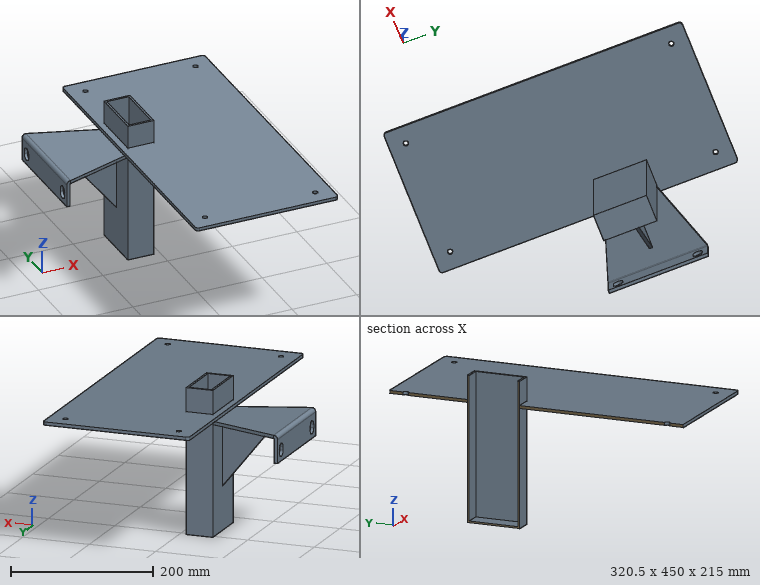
import cadquery as cq

TUBE_X = 40.0
TUBE_Y = 80.0
TUBE_HEIGHT = 215.0
TUBE_WALL = 3.0

SHEET = 5.0

PLATE_X = 220.0
PLATE_Y = 450.0
PLATE_CORNER_RADIUS = 5.0
PLATE_OVERHANG = 10.0
PLATE_SHIFT_Y = -65.5
PLATE_DROP = 35.0
HOLE_DIAMETER = 7.0
HOLE_EDGE_DISTANCE = 24.8

BRACKET_REACH = 110.5
BRACKET_WIDTH = 150.0
BRACKET_DROP = 45.0
FLANGE_HEIGHT = 41.0
BEND_OUTER_RADIUS = 6.0
BEND_INNER_RADIUS = BEND_OUTER_RADIUS - SHEET
SLOT_WIDTH = 14.0
SLOT_HEIGHT = 19.0
SLOT_SPACING = 120.0
SLOT_DROP = 24.8

GUSSET_LENGTH = 80.0
GUSSET_HEIGHT = 100.0

PLATE_BOTTOM = TUBE_HEIGHT - PLATE_DROP - SHEET
PLATE_CENTRE_X = PLATE_X / 2 - PLATE_OVERHANG
BRACKET_TOP = TUBE_HEIGHT - BRACKET_DROP
BRACKET_UNDERSIDE = BRACKET_TOP - SHEET


def make_tube():
    """Rectangular tube, open at the top and closed by a floor at the bottom."""
    outer = cq.Workplane("XY").box(TUBE_X, TUBE_Y, TUBE_HEIGHT, centered=(False, True, False))
    return outer.faces(">Z").shell(-TUBE_WALL, kind="intersection")


def make_plate():
    """Table plate with a corner hole pattern and an opening for the tube."""
    plate = (
        cq.Workplane("XY")
        .box(PLATE_X, PLATE_Y, SHEET, centered=(True, True, False))
        .edges("|Z").fillet(PLATE_CORNER_RADIUS)
        .faces(">Z").workplane()
        .rect(PLATE_X - 2 * HOLE_EDGE_DISTANCE, PLATE_Y - 2 * HOLE_EDGE_DISTANCE, forConstruction=True)
        .vertices().hole(HOLE_DIAMETER)
        .translate((PLATE_CENTRE_X, PLATE_SHIFT_Y, PLATE_BOTTOM))
    )
    opening = cq.Workplane("XY").box(TUBE_X, TUBE_Y, TUBE_HEIGHT, centered=(False, True, False))
    return plate.cut(opening)


def make_bent_sheet():
    """L-shaped sheet whose horizontal leg tapers from the bend to the tube width."""
    outer_x = -BRACKET_REACH
    inner_x = outer_x + SHEET
    flange_bottom = BRACKET_TOP - FLANGE_HEIGHT
    sheet = (
        cq.Workplane("XZ")
        .moveTo(0, BRACKET_TOP)
        .lineTo(outer_x + BEND_OUTER_RADIUS, BRACKET_TOP)
        .radiusArc((outer_x, BRACKET_TOP - BEND_OUTER_RADIUS), -BEND_OUTER_RADIUS)
        .lineTo(outer_x, flange_bottom)
        .lineTo(inner_x, flange_bottom)
        .lineTo(inner_x, BRACKET_UNDERSIDE - BEND_INNER_RADIUS)
        .radiusArc((inner_x + BEND_INNER_RADIUS, BRACKET_UNDERSIDE), BEND_INNER_RADIUS)
        .lineTo(0, BRACKET_UNDERSIDE)
        .close()
        .extrude(BRACKET_WIDTH / 2, both=True)
    )
    taper_start = outer_x + BEND_OUTER_RADIUS
    footprint = (
        cq.Workplane("XY")
        .polyline([
            (outer_x, -BRACKET_WIDTH / 2),
            (taper_start, -BRACKET_WIDTH / 2),
            (0, -TUBE_Y / 2),
            (0, TUBE_Y / 2),
            (taper_start, BRACKET_WIDTH / 2),
            (outer_x, BRACKET_WIDTH / 2),
        ])
        .close()
        .extrude(TUBE_HEIGHT)
    )
    return sheet.intersect(footprint)


def make_slots():
    """Cutters for the two upright mounting slots in the flange."""
    return (
        cq.Workplane("YZ", origin=(-BRACKET_REACH, 0, BRACKET_TOP - SLOT_DROP))
        .pushPoints([(-SLOT_SPACING / 2, 0), (SLOT_SPACING / 2, 0)])
        .slot2D(SLOT_HEIGHT, SLOT_WIDTH, 90)
        .extrude(SHEET)
    )


def make_gusset():
    """Triangular web on the bracket centre line."""
    return (
        cq.Workplane("XZ")
        .polyline([
            (0, BRACKET_UNDERSIDE),
            (-GUSSET_LENGTH, BRACKET_UNDERSIDE),
            (0, BRACKET_UNDERSIDE - GUSSET_HEIGHT),
        ])
        .close()
        .extrude(SHEET / 2, both=True)
    )


def make_bracket():
    """Bent sheet with mounting slots, stiffened by the gusset."""
    return make_bent_sheet().cut(make_slots()).union(make_gusset())


tube = make_tube()
plate = make_plate()
bracket = make_bracket()

result = cq.Compound.makeCompound([tube.solids().val(), plate.solids().val(), bracket.solids().val()])